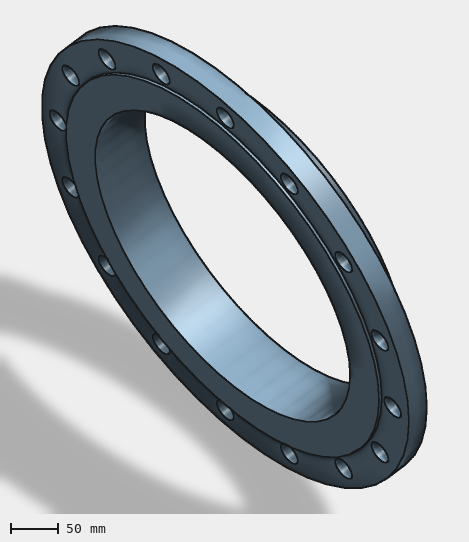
import cadquery as cq

flange_diameter = 565.0
overall_length = 72.0
bore_diameter = 392.0

face_diameter = 481.5
face_height = 4.0

disc_thickness = 26.0
neck_diameter = 405.5
neck_length = 17.0
hub_diameter = 440.5
hub_fillet_radius = 10.0

bolt_count = 16
bolt_circle_diameter = 514.5
bolt_hole_diameter = 26.0

front = -overall_length / 2
back = overall_length / 2
disc_front = front + face_height
disc_back = disc_front + disc_thickness
neck_start = back - neck_length


def flange_body():
    """Revolve the radial section about the Y axis."""
    section = (
        cq.Workplane("XY")
        .moveTo(bore_diameter / 2, front)
        .lineTo(face_diameter / 2, front)
        .lineTo(face_diameter / 2, disc_front)
        .lineTo(flange_diameter / 2, disc_front)
        .lineTo(flange_diameter / 2, disc_back)
        .lineTo(hub_diameter / 2, disc_back)
        .lineTo(neck_diameter / 2, neck_start)
        .lineTo(neck_diameter / 2, back)
        .lineTo(bore_diameter / 2, back)
        .close()
    )
    body = section.revolve(360, (0, 0, 0), (0, 1, 0))
    disc_back_face = body.faces("|Y").faces(">Y[-2]")
    hub_root = disc_back_face.edges("%CIRCLE").edges(cq.selectors.RadiusNthSelector(0))
    return hub_root.fillet(hub_fillet_radius)


def bolt_holes():
    """Cylinders through the disc, with one on the +X axis."""
    return (
        cq.Workplane("XZ", origin=(0, back, 0))
        .polarArray(bolt_circle_diameter / 2, 0, 360, bolt_count)
        .circle(bolt_hole_diameter / 2)
        .extrude(overall_length)
    )


result = flange_body().cut(bolt_holes())